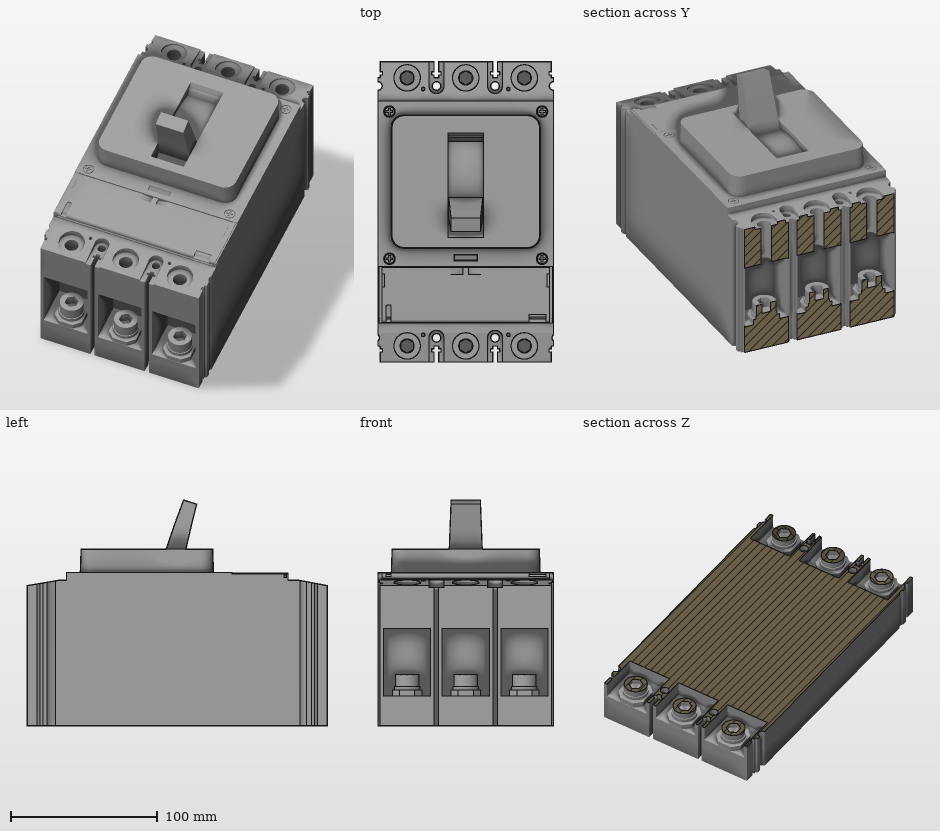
import cadquery as cq
import math

POLE_COUNT = 3
POLE_PITCH = 40.0
WIDTH = POLE_COUNT * POLE_PITCH
LENGTH = 205.0
HALF_W = WIDTH / 2
HALF_L = LENGTH / 2
END_Z = 95.7
SHOULDER_Z = 99.5
REAR_SLOPE_Y = 80.5
FRONT_SLOPE_Y = 82.8
COVER_HALF_L = 75.6
COVER_Z = 104.8

pole_xs = [POLE_PITCH * (i - (POLE_COUNT - 1) / 2) for i in range(POLE_COUNT)]
divider_xs = [POLE_PITCH * (i - POLE_COUNT / 2) for i in range(POLE_COUNT + 1)]
inner_divider_xs = divider_xs[1:-1]
ends = (-1, 1)
sides = (-1, 1)

SLOT_W = 3.0
SLOT_DEPTH = 10.9
CROSS_W = 6.2
CROSS_L = 2.0
CROSS_INSET = 8.0
MOUNT_R = 2.9
MOUNT_Y = 85.9
SIDE_NOTCH_OUT = 1.8
CHANNEL_R = 5.1
CHANNEL_Z = 94.5

TERMINAL_Y = 91.5
DISH_R = 9.0
DISH_Z = 95.1
ACCESS_R = 4.82
WINDOW_W = 32.2
WINDOW_Z0 = 20.5
WINDOW_Z1 = 66.5
WINDOW_DEPTH = 28.0
PIN_HOLE_X = 29.1
PIN_HOLE_Y = 83.8
PIN_HOLE_R = 1.2
PIN_HOLE_FLOOR_Z = 95.3

PLATE_W = 20.0
PLATE_L = 21.7
PLATE_CHAMFER = 5.0
PLATE_H = 3.9
WASHER_R = 8.71
WASHER_H = 2.5
HEAD_R = 8.1
HEAD_H = 8.2
SOCKET_FLATS = 8.5
SOCKET_DEPTH = 7.2
HALF_HEX_ANGLE = 30.0

BLOCK_W = 101.7
BLOCK_Y0 = -24.8
BLOCK_Y1 = 66.2
BLOCK_Z = 120.5
BLOCK_CORNER_R = 8.6
BLOCK_DRAFT = 2.0

POCKET_W = 24.4
POCKET_Y0 = -17.5
POCKET_Y1 = 54.0
POCKET_FLOOR_Z = 100.5
POCKET_FLARE = 30.0
POCKET_LEDGE_Z = 116.6
POCKET_LEDGE = 0.8
TOGGLE_GAP = 0.6
DRUM_Y = 26.6
DRUM_R = 61.5
DRUM_TOP_Z = 116.5
LEVER_ROOT_Z = 105.5
LEVER_TOP_Z = 154.2
LEVER_ROOT_W = 23.8
LEVER_TIP_W = 20.0
LEVER_TIP_Y = -4.3
LEVER_NOSE_Y = -13.3
LEVER_NOSE_Z = 151.3
LEVER_BEND_Z = 138.2
LEVER_BEND_Y0 = -10.0
LEVER_BEND_Y1 = 1.6
LEVER_ROOT_Y0 = -2.5
LEVER_ROOT_Y1 = 12.7

SCREW_X = 52.0
SCREW_YS = (-32.0, 68.5)
SCREW_R = 3.9
SCREW_GROOVE = 0.6
CROSS_BAR_L = 4.5
CROSS_BAR_W = 1.2
SCREW_RECESS = 0.8

LABEL_W = 16.2
LABEL_L = 4.5
LABEL_Y = -31.2
LABEL_DEPTH = 0.8
LABEL_DRAFT = 35.0

SEAT_Y = -37.3
SEAT_HALF_W = 57.0
SEAT_Z = 100.2
RIM_Z = 104.3
RIM_STEP = 0.8
FLAP_GAP = 0.6
FLAP_Z = 104.3
FLAP_FRONT_Y = -75.5
FLAP_EDGE_R = 1.95
HINGE_Y = -73.5
HINGE_Z = 102.0
HINGE_SIZE = 1.6

LATCH_HALF_W = 10.0
LATCH_Y0 = -42.8
LATCH_DEPTH = 2.0
LATCH_LUG_HALF_W = 1.8
SIDE_SLOT_X0 = 55.4
SIDE_SLOT_Y0 = -51.2
SIDE_SLOT_Y1 = -42.5
SIDE_SLOT_DEPTH = 0.5
RECESS_UPPER_Z = 103.3
RECESS_LOWER_Z = 102.0
RAMP_Y0 = -73.0
RAMP_Y1 = -71.5
GRIP_X0 = 43.3
GRIP_X1 = 54.7
GRIP_Y = -70.0
SEAL_X0 = -54.5
SEAL_X1 = -50.8
SEAL_Y = -64.5
SEAL_TIP_L = 1.2
SEAL_TIP_INSET = 0.8


def box(x0, x1, y0, y1, z0, z1):
    """Axis-aligned block between two corners."""
    return cq.Workplane("XY").box(x1 - x0, y1 - y0, z1 - z0, centered=False).translate((x0, y0, z0))


def rod(x, y, radius, z0, z1):
    """Upright cylinder."""
    return cq.Workplane("XY").workplane(offset=z0).center(x, y).circle(radius).extrude(z1 - z0)


def prism_along_x(points, width):
    """Y-Z outline extruded symmetrically about X = 0."""
    return cq.Workplane("YZ").polyline(points).close().extrude(width / 2, both=True)


def bolt_shape(x, end):
    """Bolt standing on the window floor: clipped square plate, washer, round socket head."""
    base = cq.Workplane("XY").rect(PLATE_W, PLATE_L).extrude(PLATE_H).edges("|Z").chamfer(PLATE_CHAMFER)
    washer = rod(0, 0, WASHER_R, PLATE_H, PLATE_H + WASHER_H)
    top = PLATE_H + WASHER_H + HEAD_H
    head = rod(0, 0, HEAD_R, PLATE_H + WASHER_H, top)
    socket = (
        cq.Workplane("XY").workplane(offset=top)
        .polygon(6, SOCKET_FLATS / math.cos(math.radians(HALF_HEX_ANGLE))).extrude(-SOCKET_DEPTH)
        .rotate((0, 0, 0), (0, 0, 1), HALF_HEX_ANGLE)
    )
    bolt = base.union(washer).union(head).cut(socket)
    return bolt.translate((x, end * TERMINAL_Y, WINDOW_Z0))


def case_blank():
    outline = [
        (-HALF_L, 0),
        (HALF_L, 0),
        (HALF_L, END_Z),
        (REAR_SLOPE_Y, SHOULDER_Z),
        (COVER_HALF_L, SHOULDER_Z),
        (COVER_HALF_L, COVER_Z),
        (-COVER_HALF_L, COVER_Z),
        (-COVER_HALF_L, SHOULDER_Z),
        (-FRONT_SLOPE_Y, SHOULDER_Z),
        (-HALF_L, END_Z),
    ]
    return prism_along_x(outline, WIDTH)


def raised_block():
    length = BLOCK_Y1 - BLOCK_Y0
    return (
        cq.Workplane("XY").workplane(offset=COVER_Z)
        .center(0, (BLOCK_Y0 + BLOCK_Y1) / 2)
        .sketch().rect(BLOCK_W, length).vertices().fillet(BLOCK_CORNER_R).finalize()
        .extrude(BLOCK_Z - COVER_Z, taper=BLOCK_DRAFT)
    )


def divider_cut(x, end):
    """Slot with a cross slot, and the mounting hole, on one line between poles."""
    def across(half_w, y0, y1):
        near, far = sorted((end * y0, end * y1))
        return box(x - half_w, x + half_w, near, far, 0, COVER_Z)

    slot = across(SLOT_W / 2, HALF_L - SLOT_DEPTH, HALF_L)
    cross_y = HALF_L - CROSS_INSET
    cross = across(CROSS_W / 2, cross_y - CROSS_L / 2, cross_y + CROSS_L / 2)
    hole_x = x
    if x not in inner_divider_xs and end < 0:
        hole_x = x + math.copysign(SIDE_NOTCH_OUT, x)
    return slot.union(cross).union(rod(hole_x, end * MOUNT_Y, MOUNT_R, 0, COVER_Z))


def channel_cut(x, end):
    """Round-ended channel around an inner slot and its mounting hole."""
    near, far = sorted((end * MOUNT_Y, end * HALF_L))
    straight = box(x - CHANNEL_R, x + CHANNEL_R, near, far, CHANNEL_Z, COVER_Z)
    return straight.union(rod(x, end * MOUNT_Y, CHANNEL_R, CHANNEL_Z, COVER_Z))


def terminal_cut(x, end):
    """Window in the end face, with an access hole and a dish above the bolt."""
    near, far = sorted((end * (HALF_L - WINDOW_DEPTH), end * HALF_L))
    window = box(x - WINDOW_W / 2, x + WINDOW_W / 2, near, far, WINDOW_Z0, WINDOW_Z1)
    access = rod(x, end * TERMINAL_Y, ACCESS_R, WINDOW_Z1, COVER_Z)
    dish = rod(x, end * TERMINAL_Y, DISH_R, DISH_Z, COVER_Z)
    return window.union(access).union(dish)


def screw_marks():
    """Cover screw heads: a ring groove and a cross recess each."""
    z0 = COVER_Z - SCREW_RECESS
    ring = rod(0, 0, SCREW_R, z0, COVER_Z).cut(rod(0, 0, SCREW_R - SCREW_GROOVE, z0, COVER_Z))
    half_l = CROSS_BAR_L / 2
    half_w = CROSS_BAR_W / 2
    mark = (
        ring.union(box(-half_l, half_l, -half_w, half_w, z0, COVER_Z))
        .union(box(-half_w, half_w, -half_l, half_l, z0, COVER_Z))
    )
    return [mark.translate((side * SCREW_X, y, 0)) for side in sides for y in SCREW_YS]


def label_recess():
    return (
        cq.Workplane("XY").workplane(offset=COVER_Z).center(0, LABEL_Y)
        .rect(LABEL_W, LABEL_L).extrude(-LABEL_DEPTH, taper=LABEL_DRAFT)
    )


def flap_seat():
    """Seat for the flap, open to the front, between two stepped rims."""
    front = -COVER_HALF_L
    seat = box(-SEAT_HALF_W, SEAT_HALF_W, front, SEAT_Y, SEAT_Z, COVER_Z)
    seat = seat.union(box(-HALF_W, HALF_W, front, SEAT_Y, RIM_Z, COVER_Z))
    for side in sides:
        edges = sorted((side * (HALF_W - RIM_STEP), side * HALF_W))
        seat = seat.union(box(*edges, front, SEAT_Y, RIM_Z - RIM_STEP, COVER_Z))
    half = HINGE_SIZE / 2
    hinge = box(-HALF_W, HALF_W, HINGE_Y - half, HINGE_Y + half, HINGE_Z - half, HINGE_Z + half)
    return seat.union(hinge)


def pocket_space(gap=0.0):
    """Pocket of the toggle, with flared ends; a gap makes it shorter at both ends."""
    flare = math.tan(math.radians(POCKET_FLARE))
    run = (BLOCK_Z - POCKET_FLOOR_Z) * flare
    ledge_run = (BLOCK_Z - POCKET_LEDGE_Z) * flare
    y0 = POCKET_Y0 + gap
    y1 = POCKET_Y1 - gap
    outline = [
        (y0, BLOCK_Z),
        (y0 + run, POCKET_FLOOR_Z),
        (y1 - run - POCKET_LEDGE, POCKET_FLOOR_Z),
        (y1 - ledge_run - POCKET_LEDGE, POCKET_LEDGE_Z),
        (y1 - ledge_run, POCKET_LEDGE_Z),
        (y1, BLOCK_Z),
    ]
    return prism_along_x(outline, POCKET_W)


def make_case():
    case = case_blank().union(raised_block())
    for end in ends:
        for x in divider_xs:
            case = case.cut(divider_cut(x, end))
        for x in inner_divider_xs:
            case = case.cut(channel_cut(x, end))
        for x in pole_xs:
            case = case.cut(terminal_cut(x, end))
        for side in sides:
            pin_x = side * PIN_HOLE_X
            case = case.cut(rod(pin_x, end * PIN_HOLE_Y, PIN_HOLE_R, PIN_HOLE_FLOOR_Z, COVER_Z))
    for mark in screw_marks():
        case = case.cut(mark)
    for x in pole_xs:
        case = case.union(bolt_shape(x, 1))
    return case.cut(label_recess()).cut(flap_seat()).cut(pocket_space())


def make_toggle():
    drum = (
        cq.Workplane("YZ").center(DRUM_Y, DRUM_TOP_Z - DRUM_R)
        .circle(DRUM_R).extrude(POCKET_W / 2, both=True)
    )
    side_outline = [
        (LEVER_ROOT_Y1, LEVER_ROOT_Z),
        (LEVER_BEND_Y1, LEVER_BEND_Z),
        (LEVER_TIP_Y, LEVER_TOP_Z),
        (LEVER_NOSE_Y, LEVER_NOSE_Z),
        (LEVER_BEND_Y0, LEVER_BEND_Z),
        (LEVER_ROOT_Y0, LEVER_ROOT_Z),
    ]
    lever = prism_along_x(side_outline, POCKET_W)
    front_outline = [
        (-LEVER_ROOT_W / 2, LEVER_ROOT_Z),
        (LEVER_ROOT_W / 2, LEVER_ROOT_Z),
        (LEVER_TIP_W / 2, LEVER_TOP_Z),
        (-LEVER_TIP_W / 2, LEVER_TOP_Z),
    ]
    taper = cq.Workplane("XZ").polyline(front_outline).close().extrude(LENGTH, both=True)
    return pocket_space(TOGGLE_GAP).intersect(drum).union(lever.intersect(taper))


def latch_recess():
    """V-shaped finger recess at the rear edge of the flap, with a lug left in its middle."""
    outline = [(-LATCH_HALF_W, FLAP_Z), (LATCH_HALF_W, FLAP_Z), (0, FLAP_Z - LATCH_DEPTH)]
    recess = (
        cq.Workplane("XZ", origin=(0, SEAT_Y, 0)).polyline(outline).close().extrude(SEAT_Y - LATCH_Y0)
    )
    return recess.cut(box(-LATCH_LUG_HALF_W, LATCH_LUG_HALF_W, LATCH_Y0, SEAT_Y, SEAT_Z, FLAP_Z))


def side_slot():
    """Groove near the +X edge of the flap, running out at that edge."""
    outline = [
        (SIDE_SLOT_X0, FLAP_Z),
        (SEAT_HALF_W, FLAP_Z),
        (SIDE_SLOT_X0, FLAP_Z - SIDE_SLOT_DEPTH),
    ]
    return (
        cq.Workplane("XZ", origin=(0, SIDE_SLOT_Y1, 0)).polyline(outline).close()
        .extrude(SIDE_SLOT_Y1 - SIDE_SLOT_Y0)
    )


def edge_recess(x0, x1, rear_y):
    """Two-level recess open to the front edge, with a ramp between the levels."""
    outline = [
        (rear_y, FLAP_Z),
        (rear_y, RECESS_UPPER_Z),
        (RAMP_Y1, RECESS_UPPER_Z),
        (RAMP_Y0, RECESS_LOWER_Z),
        (-COVER_HALF_L, RECESS_LOWER_Z),
        (-COVER_HALF_L, FLAP_Z),
    ]
    return cq.Workplane("YZ", origin=(x0, 0, 0)).polyline(outline).close().extrude(x1 - x0)


def seal_tip():
    """Tapering rear end of the seal recess."""
    outline = [
        (SEAL_X0, SEAL_Y),
        (SEAL_X1, SEAL_Y),
        (SEAL_X1 - SEAL_TIP_INSET, SEAL_Y + SEAL_TIP_L),
        (SEAL_X0 + SEAL_TIP_INSET, SEAL_Y + SEAL_TIP_L),
    ]
    return (
        cq.Workplane("XY").workplane(offset=RECESS_UPPER_Z).polyline(outline).close()
        .extrude(FLAP_Z - RECESS_UPPER_Z)
    )


def make_flap():
    flap = box(-SEAT_HALF_W, SEAT_HALF_W, FLAP_FRONT_Y, SEAT_Y - FLAP_GAP, SEAT_Z, FLAP_Z)
    flap = flap.faces("<Y").edges("|X").fillet(FLAP_EDGE_R)
    slot = side_slot()
    flap = flap.cut(latch_recess()).cut(slot).cut(slot.mirror("YZ"))
    flap = flap.cut(edge_recess(GRIP_X0, GRIP_X1, GRIP_Y))
    return flap.cut(edge_recess(SEAL_X0, SEAL_X1, SEAL_Y)).cut(seal_tip())


case = make_case()
toggle = make_toggle()
flap = make_flap()
bolts = [bolt_shape(x, -1) for x in pole_xs]

result = cq.Compound.makeCompound(
    [case.val(), toggle.val(), flap.val(), *[bolt.val() for bolt in bolts]]
)